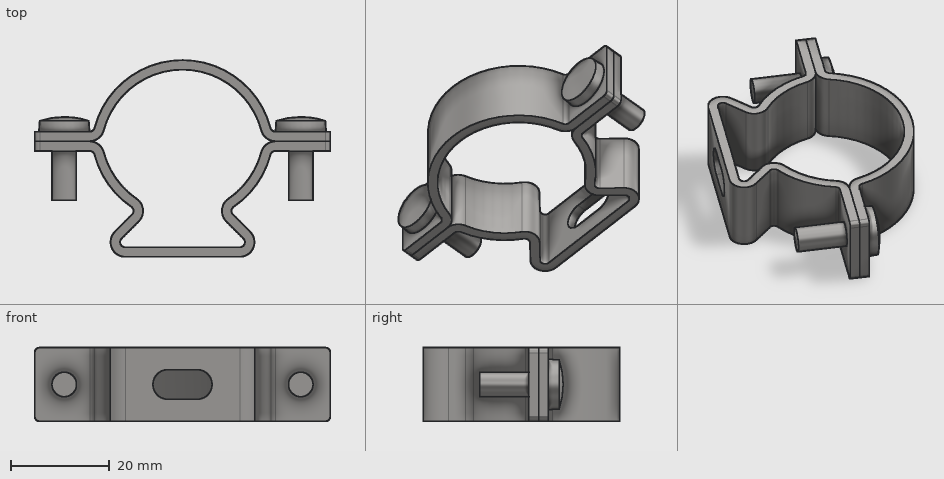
import cadquery as cq
import math


overall_length = 60.0
strap_width = 15.0
thickness = 2.0
bend_radius = 1.0
ring_inner_radius = 16.5
ring_shift = 2.0
foot_depth = 23.45
waist_half_gap = 8.0
leg_angle = 45.0
corner_radius = 1.0
slot_length = 12.0
slot_width = 6.0

screw_spacing = 48.0
shank_diameter = 5.0
shank_end = 12.0
head_base_diameter = 10.3
head_rim_diameter = 10.0
head_rim_height = 2.15
head_height = 3.0

half_length = overall_length / 2
half_thickness = thickness / 2
bend_path_radius = bend_radius + half_thickness
bend_outer_radius = bend_radius + thickness
ring_path_radius = ring_inner_radius + half_thickness
ring_outer_radius = ring_inner_radius + thickness

ring_centre = (0, ring_shift)
bend_reach = ring_outer_radius + bend_radius

neck_y = -bend_outer_radius
neck_angle = math.degrees(math.asin((ring_shift - neck_y) / bend_reach))
neck_x = bend_reach * math.cos(math.radians(neck_angle))
neck_bend = ((neck_x, neck_y), bend_path_radius, 90, 180 - neck_angle)

waist_x = waist_half_gap + bend_outer_radius
waist_angle = math.degrees(math.acos(waist_x / bend_reach))
waist_y = ring_shift - bend_reach * math.sin(math.radians(waist_angle))
waist_bend = ((waist_x, waist_y), bend_path_radius, 180 - waist_angle, 180 + leg_angle)

foot_y = bend_outer_radius - foot_depth
leg_slope = math.radians(leg_angle)
centre_gap = 2 * bend_path_radius
foot_x = waist_x + ((waist_y - foot_y) * math.cos(leg_slope) - centre_gap) / math.sin(leg_slope)
foot_bend = ((foot_x, foot_y), bend_path_radius, leg_angle, -90)

saddle_ring = (ring_centre, ring_path_radius, -neck_angle, -waist_angle)
cap_ring = (ring_centre, ring_path_radius, -neck_angle, neck_angle - 180)


def point_on_circle(centre, radius, angle):
    turn = math.radians(angle)
    return (centre[0] + radius * math.cos(turn), centre[1] + radius * math.sin(turn))


def across_strip(centre, path_radius, angle):
    """Points on the inner and outer side of a bend, at the given angle about its centre."""
    inner = point_on_circle(centre, path_radius - half_thickness, angle)
    outer = point_on_circle(centre, path_radius + half_thickness, angle)
    return inner, outer


def sketch_plane():
    return cq.Workplane("XY", origin=(0, 0, -strap_width / 2))


def bent_strip(bend):
    """Stretch of the strap that follows a bend."""
    centre, path_radius, start, end = bend
    inner_start, outer_start = across_strip(centre, path_radius, start)
    inner_middle, outer_middle = across_strip(centre, path_radius, (start + end) / 2)
    inner_end, outer_end = across_strip(centre, path_radius, end)
    return (
        sketch_plane()
        .moveTo(*inner_start)
        .threePointArc(inner_middle, inner_end)
        .lineTo(*outer_end)
        .threePointArc(outer_middle, outer_start)
        .close()
        .extrude(strap_width)
    )


def flange():
    """Flat +X end of a strap, with rounded corners and a hole that fits the screw."""
    plate = (
        sketch_plane()
        .moveTo(neck_x, -thickness)
        .lineTo(half_length, -thickness)
        .lineTo(half_length, 0)
        .lineTo(neck_x, 0)
        .close()
        .extrude(strap_width)
        .edges("|Y and >X")
        .fillet(corner_radius)
    )
    hole = cq.Workplane("XZ").center(screw_spacing / 2, 0).circle(shank_diameter / 2).extrude(thickness)
    return plate.cut(hole)


def leg():
    """Straight sloping stretch from the waist to the foot."""
    waist_inner, waist_outer = across_strip(*waist_bend[:2], waist_bend[3])
    foot_inner, foot_outer = across_strip(*foot_bend[:2], foot_bend[2])
    corners = [waist_inner, waist_outer, foot_inner, foot_outer]
    return sketch_plane().polyline(corners).close().extrude(strap_width)


def base():
    """Flat of the foot, with its fixing slot."""
    plate = (
        sketch_plane()
        .center(0, half_thickness - foot_depth)
        .rect(2 * foot_x, thickness)
        .extrude(strap_width)
    )
    slot = (
        cq.Workplane("XZ", origin=(0, thickness - foot_depth, 0))
        .slot2D(slot_length, slot_width)
        .extrude(thickness)
    )
    return plate.cut(slot)


def join_both_sides(middle, side_strips):
    """Join the strips of the +X side, and their mirror images, to a middle stretch."""
    strap = middle
    for strip in side_strips:
        strap = strap.union(strip).union(strip.mirror("YZ"))
    return strap


def make_saddle():
    """Strap on the -Y side, with the foot."""
    side_strips = [bent_strip(foot_bend), leg(), bent_strip(waist_bend), bent_strip(saddle_ring)]
    side_strips += [bent_strip(neck_bend), flange()]
    return join_both_sides(base(), side_strips)


def make_cap():
    """Strap on the +Y side: a plain arch between two flanges."""
    return join_both_sides(bent_strip(cap_ring), [bent_strip(neck_bend), flange()]).mirror("XZ")


def make_screw(x):
    """Screw along Y: plain shank, slightly tapered head with a domed top."""
    rim_y = thickness + head_rim_height
    top_y = thickness + head_height
    rim_radius = head_rim_diameter / 2
    dome_rise = head_height - head_rim_height
    dome_radius = (rim_radius**2 + dome_rise**2) / (2 * dome_rise)
    half_angle = math.asin(rim_radius / dome_radius) / 2
    dome_middle = (dome_radius * math.sin(half_angle), top_y - dome_radius * (1 - math.cos(half_angle)))
    return (
        cq.Workplane("XY")
        .moveTo(0, -shank_end)
        .lineTo(shank_diameter / 2, -shank_end)
        .lineTo(shank_diameter / 2, thickness)
        .lineTo(head_base_diameter / 2, thickness)
        .lineTo(rim_radius, rim_y)
        .threePointArc(dome_middle, (0, top_y))
        .close()
        .revolve(360, (0, 0), (0, 1))
        .translate((x, 0, 0))
    )


saddle = make_saddle()
cap = make_cap()
screws = [make_screw(x) for x in (-screw_spacing / 2, screw_spacing / 2)]

result = cq.Compound.makeCompound([saddle.val(), cap.val(), *[screw.val() for screw in screws]])